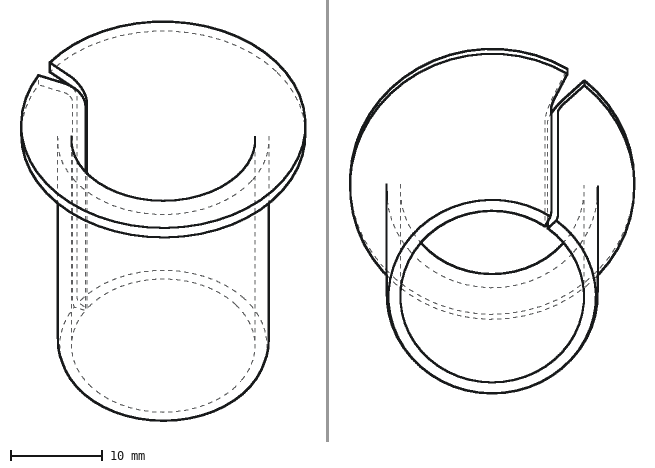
import cadquery as cq
import math

height = 35.0
flange_radius = 15.5
wall = 1.5
bore_radius = 10.0
mouth_radius = 2.5
neck_fillet = mouth_radius - wall
chamfer_height = 0.8
chamfer_width = 0.2
slit_half_angle = 10.0
slit_inner_width = 0.35

tube_radius = bore_radius + wall
flange_bottom = height - wall
arc_center_radius = bore_radius + mouth_radius
arc_center_height = height - mouth_radius
diagonal = math.sqrt(0.5)


def flanged_sleeve():
    """Revolve the wall section, given as (radius, height), about Z."""
    mouth_middle = (
        arc_center_radius - mouth_radius * diagonal,
        arc_center_height + mouth_radius * diagonal,
    )
    neck_middle = (
        arc_center_radius - neck_fillet * diagonal,
        arc_center_height + neck_fillet * diagonal,
    )
    section = (
        cq.Workplane("XZ")
        .moveTo(bore_radius, 0)
        .lineTo(tube_radius - chamfer_width, 0)
        .lineTo(tube_radius, chamfer_height)
        .lineTo(tube_radius, arc_center_height)
        .threePointArc(neck_middle, (arc_center_radius, flange_bottom))
        .lineTo(flange_radius, flange_bottom)
        .lineTo(flange_radius, height)
        .lineTo(arc_center_radius, height)
        .threePointArc(mouth_middle, (bore_radius, arc_center_height))
        .close()
    )
    return section.revolve(360, (0, 0, 0), (0, 1, 0))


def slit_cutter():
    """Full-height wedge on the -X side that widens outwards."""
    slope = math.tan(math.radians(slit_half_angle))
    apex_x = -bore_radius + slit_inner_width / 2 / slope
    outer_x = -2 * flange_radius
    outer_half_width = (apex_x - outer_x) * slope
    return (
        cq.Workplane("XY")
        .polyline([(apex_x, 0), (outer_x, outer_half_width), (outer_x, -outer_half_width)])
        .close()
        .extrude(height)
    )


result = flanged_sleeve().cut(slit_cutter())